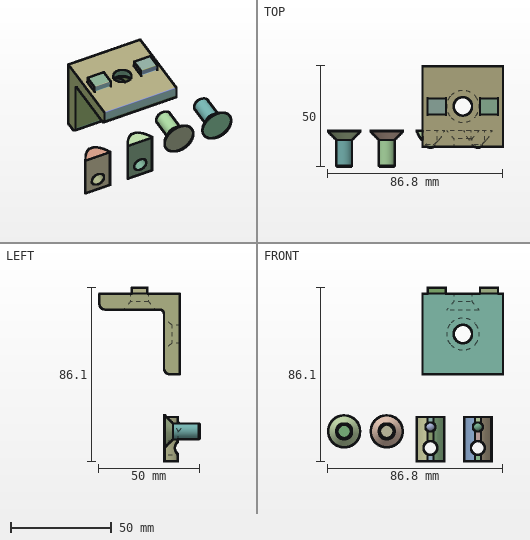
import cadquery as cq
BRACKET_RIGHT_X = 86.8
INNER_FACE_Y = 18.0

BRACKET_SIDE = 40.0
LEG_THICKNESS = 8.0
BRACKET_BOTTOM_Z = 43.1
OUTER_CORNER_RADIUS = 0.5
LEG_OUTER_EDGE_RADIUS = 0.4
LEG_INNER_EDGE_RADIUS = 3.0
INNER_CORNER_RADIUS = 2.0
BRACKET_HOLE_DIAMETER = 9.0
COUNTERSINK_DEPTH = LEG_THICKNESS / 2
TAB_WIDTH = 9.0
TAB_DEPTH = 7.8
TAB_HEIGHT = 3.0
TAB_OFFSET = 12.9
TAB_EDGE_RADIUS = 0.3

HEAD_DIAMETER = 16.0
HEAD_RIM = 0.5
SHANK_DIAMETER = 8.0
SCREW_LENGTH = INNER_FACE_Y
TIP_CHAMFER = 0.7
FIRST_SCREW_X = HEAD_DIAMETER / 2
SCREW_SPACING = 21.1
SCREW_COUNT = 2
SCREW_Z = 14.9

NUT_WIDTH = 13.8
NUT_LENGTH = 22.1
NUT_DEPTH = 6.95
NUT_FLAT_WIDTH = 3.0
NUT_RIM = 0.5
NUT_LIP_STEP = 0.3
NUT_FLANK_BULGE = 0.7
NUT_HOLE_DIAMETER = 6.8
NUT_HOLE_Z = 6.7
BALL_DIAMETER = 5.0
BALL_Z = 17.1
BALL_CENTER_DEPTH = 6.0
FIRST_NUT_X = 50.7
NUT_SPACING = 23.5
NUT_COUNT = 2

BRACKET_LEFT_X = BRACKET_RIGHT_X - BRACKET_SIDE
BRACKET_MIDDLE_X = BRACKET_RIGHT_X - BRACKET_SIDE / 2
BRACKET_FRONT_Y = INNER_FACE_Y - LEG_THICKNESS
BRACKET_BACK_Y = BRACKET_FRONT_Y + BRACKET_SIDE
BRACKET_MIDDLE_Y = BRACKET_FRONT_Y + BRACKET_SIDE / 2
BRACKET_TOP_Z = BRACKET_BOTTOM_Z + BRACKET_SIDE
BRACKET_MIDDLE_Z = BRACKET_BOTTOM_Z + BRACKET_SIDE / 2
LEG_UNDERSIDE_Z = BRACKET_TOP_Z - LEG_THICKNESS


def fillet_x_edge(body, y, z, radius):
    """Round the edge along X that passes through (y, z)."""
    edge = cq.selectors.NearestToPointSelector((BRACKET_MIDDLE_X, y, z))
    return body.edges("|X").edges(edge).fillet(radius)


def make_bracket_angle():
    """L-shaped profile along X with rounded corners."""
    angle = (
        cq.Workplane("YZ", origin=(BRACKET_LEFT_X, 0, 0))
        .moveTo(BRACKET_FRONT_Y, BRACKET_BOTTOM_Z)
        .lineTo(INNER_FACE_Y, BRACKET_BOTTOM_Z)
        .lineTo(INNER_FACE_Y, LEG_UNDERSIDE_Z)
        .lineTo(BRACKET_BACK_Y, LEG_UNDERSIDE_Z)
        .lineTo(BRACKET_BACK_Y, BRACKET_TOP_Z)
        .lineTo(BRACKET_FRONT_Y, BRACKET_TOP_Z)
        .close()
        .extrude(BRACKET_SIDE)
    )
    rounded_edges = [
        (BRACKET_FRONT_Y, BRACKET_TOP_Z, OUTER_CORNER_RADIUS),
        (INNER_FACE_Y, LEG_UNDERSIDE_Z, INNER_CORNER_RADIUS),
        (BRACKET_FRONT_Y, BRACKET_BOTTOM_Z, LEG_OUTER_EDGE_RADIUS),
        (BRACKET_BACK_Y, BRACKET_TOP_Z, LEG_OUTER_EDGE_RADIUS),
        (INNER_FACE_Y, BRACKET_BOTTOM_Z, LEG_INNER_EDGE_RADIUS),
        (BRACKET_BACK_Y, LEG_UNDERSIDE_Z, LEG_INNER_EDGE_RADIUS),
    ]
    for y, z, radius in rounded_edges:
        angle = fillet_x_edge(angle, y, z, radius)
    return angle


def make_tab(x):
    """Block on the top leg, with rounded upper edges along X and fillets at its foot."""
    half_depth = TAB_DEPTH / 2
    foot = half_depth + TAB_EDGE_RADIUS
    shoulder = half_depth - TAB_EDGE_RADIUS
    shoulder_z = TAB_HEIGHT - TAB_EDGE_RADIUS
    return (
        cq.Workplane("YZ", origin=(x - TAB_WIDTH / 2, BRACKET_MIDDLE_Y, BRACKET_TOP_Z))
        .moveTo(-foot, 0)
        .radiusArc((-half_depth, TAB_EDGE_RADIUS), -TAB_EDGE_RADIUS)
        .lineTo(-half_depth, shoulder_z)
        .radiusArc((-shoulder, TAB_HEIGHT), TAB_EDGE_RADIUS)
        .lineTo(shoulder, TAB_HEIGHT)
        .radiusArc((half_depth, shoulder_z), TAB_EDGE_RADIUS)
        .lineTo(half_depth, TAB_EDGE_RADIUS)
        .radiusArc((foot, 0), -TAB_EDGE_RADIUS)
        .close()
        .extrude(TAB_WIDTH)
    )


def make_screw_seat():
    """Screw hole along +Z from a leg's outer face at Z = 0, widening to the head diameter inside."""
    hole_radius = BRACKET_HOLE_DIAMETER / 2
    return (
        cq.Workplane("XZ")
        .lineTo(hole_radius, 0)
        .lineTo(hole_radius, LEG_THICKNESS - COUNTERSINK_DEPTH)
        .lineTo(HEAD_DIAMETER / 2, LEG_THICKNESS)
        .lineTo(0, LEG_THICKNESS)
        .close()
        .revolve(360, (0, 0), (0, 1))
    )


def make_bracket():
    bracket = make_bracket_angle()
    for side in (-1, 1):
        bracket = bracket.union(make_tab(BRACKET_MIDDLE_X + side * TAB_OFFSET))
    seat = make_screw_seat()
    front_seat = seat.rotate((0, 0, 0), (1, 0, 0), -90)
    front_seat = front_seat.translate((BRACKET_MIDDLE_X, BRACKET_FRONT_Y, BRACKET_MIDDLE_Z))
    top_seat = seat.rotate((0, 0, 0), (1, 0, 0), 180)
    top_seat = top_seat.translate((BRACKET_MIDDLE_X, BRACKET_MIDDLE_Y, BRACKET_TOP_Z))
    return bracket.cut(front_seat).cut(top_seat)


def make_screw(x):
    """Countersunk screw along Y with its tip at Y = 0."""
    head_radius = HEAD_DIAMETER / 2
    shank_radius = SHANK_DIAMETER / 2
    rim_y = SCREW_LENGTH - HEAD_RIM
    head_base_y = rim_y - (head_radius - shank_radius)
    return (
        cq.Workplane("XY", origin=(x, 0, SCREW_Z))
        .lineTo(shank_radius - TIP_CHAMFER, 0)
        .lineTo(shank_radius, TIP_CHAMFER)
        .lineTo(shank_radius, head_base_y)
        .lineTo(head_radius, rim_y)
        .lineTo(head_radius, SCREW_LENGTH)
        .lineTo(0, SCREW_LENGTH)
        .close()
        .revolve(360, (0, 0), (0, 1))
    )


def make_nut(x):
    """Half-round slot nut standing on Z = 0, with a flat front, a cross hole and a locating ball."""
    half_width = NUT_WIDTH / 2
    half_flat = NUT_FLAT_WIDTH / 2
    flank_start = half_width - NUT_LIP_STEP
    nut = (
        cq.Workplane("XY", origin=(x, INNER_FACE_Y, 0))
        .moveTo(-half_width, 0)
        .lineTo(-half_width, -NUT_RIM)
        .lineTo(-flank_start, -NUT_RIM)
        .sagittaArc((-half_flat, -NUT_DEPTH), -NUT_FLANK_BULGE)
        .lineTo(half_flat, -NUT_DEPTH)
        .sagittaArc((flank_start, -NUT_RIM), -NUT_FLANK_BULGE)
        .lineTo(half_width, -NUT_RIM)
        .lineTo(half_width, 0)
        .close()
        .extrude(NUT_LENGTH)
    )
    ball_center = (x, INNER_FACE_Y - BALL_CENTER_DEPTH, BALL_Z)
    ball = cq.Workplane("XZ", origin=ball_center).sphere(BALL_DIAMETER / 2)
    hole = (
        cq.Workplane("XZ", origin=(x, INNER_FACE_Y, NUT_HOLE_Z))
        .circle(NUT_HOLE_DIAMETER / 2)
        .extrude(NUT_DEPTH)
    )
    return nut.union(ball).cut(hole)


bracket = make_bracket()
screws = [make_screw(FIRST_SCREW_X + i * SCREW_SPACING) for i in range(SCREW_COUNT)]
nuts = [make_nut(FIRST_NUT_X + i * NUT_SPACING) for i in range(NUT_COUNT)]

result = cq.Compound.makeCompound([body.val() for body in [bracket, *screws, *nuts]])